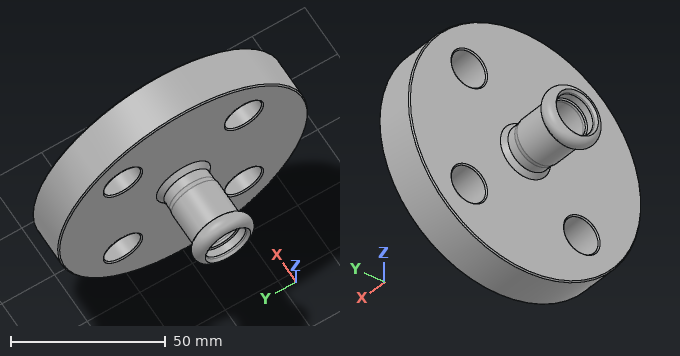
import cadquery as cq
import math

total_length = 43.2
flange_diameter = 95.0
flange_front = 27.3
edge_chamfer = 0.5

bead_radius = 3.3
bead_outer_radius = 11.4
tube_radius = 18.1 / 2
neck_radius = 17.4 / 2
weld_radius = 10.3
tube_end = 20.0
neck_start = 21.8
weld_start = 25.3

mouth_radius = 17.2 / 2
lead_in_radius = 15.7 / 2
socket_radius = 15.3 / 2
throat_radius = 14.2 / 2
bore_radius = 14.0 / 2
lead_in_start = 1.1
lead_in_end = 1.7
throat_start = 4.6
throat_end = 4.9
bore_start = 5.9

bolt_hole_diameter = 14.0
bolt_circle_diameter = 65.0
bolt_count = 4
first_bolt_angle = 45


def bead_offset(radius):
    """Axial distance from the bead centre to its surface at a given radius."""
    bead_center_radius = bead_outer_radius - bead_radius
    return math.sqrt(bead_radius**2 - (radius - bead_center_radius) ** 2)


def make_body():
    """Revolve the flange and spigot, including the bore, around X."""
    flange_radius = flange_diameter / 2
    bead_front = bead_radius - bead_offset(mouth_radius)
    bead_back = bead_radius + bead_offset(tube_radius)
    profile = (
        cq.Workplane("XY")
        .moveTo(bead_front, mouth_radius)
        .threePointArc((bead_radius, bead_outer_radius), (bead_back, tube_radius))
        .lineTo(tube_end, tube_radius)
        .lineTo(neck_start, neck_radius)
        .lineTo(weld_start, neck_radius)
        .lineTo(flange_front, weld_radius)
        .lineTo(flange_front, flange_radius - edge_chamfer)
        .lineTo(flange_front + edge_chamfer, flange_radius)
        .lineTo(total_length - edge_chamfer, flange_radius)
        .lineTo(total_length, flange_radius - edge_chamfer)
        .lineTo(total_length, bore_radius)
        .lineTo(bore_start, bore_radius)
        .lineTo(throat_end, throat_radius)
        .lineTo(throat_start, socket_radius)
        .lineTo(lead_in_end, socket_radius)
        .lineTo(lead_in_start, lead_in_radius)
        .close()
    )
    return profile.revolve(360, (0, 0, 0), (1, 0, 0))


def make_bolt_hole_cutter():
    """One through hole along X, chamfered at both flange faces."""
    hole_radius = bolt_hole_diameter / 2
    return (
        cq.Workplane("XY")
        .moveTo(flange_front, 0)
        .lineTo(flange_front, hole_radius + edge_chamfer)
        .lineTo(flange_front + edge_chamfer, hole_radius)
        .lineTo(total_length - edge_chamfer, hole_radius)
        .lineTo(total_length, hole_radius + edge_chamfer)
        .lineTo(total_length, 0)
        .close()
        .revolve(360, (0, 0, 0), (1, 0, 0))
        .translate((0, bolt_circle_diameter / 2, 0))
    )


result = make_body()
bolt_hole_cutter = make_bolt_hole_cutter()
for index in range(bolt_count):
    angle = first_bolt_angle + index * 360 / bolt_count
    result = result.cut(bolt_hole_cutter.rotate((0, 0, 0), (1, 0, 0), angle))